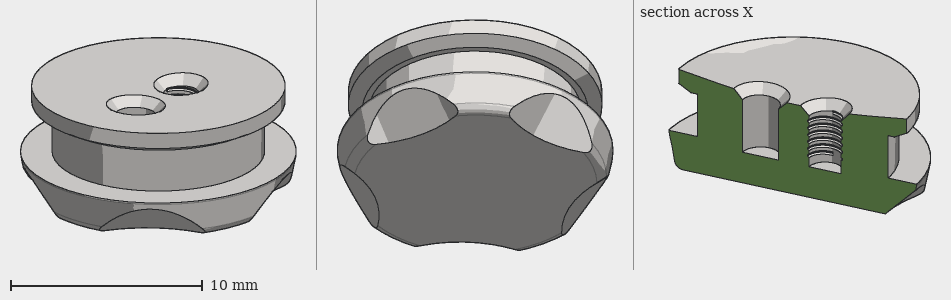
import cadquery as cq
import math

flange_radius = 7.2
flange_height = 2.16
rim_height = 0.09
flank_foot_radius = 6.78
foot_fillet = 0.52

neck_radius = 11.1 / 2
head_radius = 13.25 / 2
head_underside_radius = 5.9
head_underside_z = 4.61
head_chamfer_height = 0.39
total_height = 5.85
dish_depth = 0.58

scallop_count = 5
first_scallop_angle = 90.0
scallop_radius = 8.78
scallop_tilt = 45.0
scallop_floor_radius = 5.35
scallop_length = 14.4

hole_offset = 1.87
hole_depth = 4.03
mouth_chamfer = 0.5
plain_hole_radius = 2.07 / 2
threaded_hole_radius = 1.83 / 2

thread_major_radius = 2.0 / 2
thread_pitch = 0.4
thread_turns = 6
thread_end_angle = 180.0
thread_groove_width = 0.29
thread_root_width = 0.06
thread_overlap = 0.05


def make_flange():
    """Tapered disc with a narrow straight rim and a rounded foot."""
    flank_height = flange_height - rim_height
    flange = (
        cq.Workplane("XZ")
        .moveTo(0, 0)
        .lineTo(flank_foot_radius, 0)
        .lineTo(flange_radius, flank_height)
        .lineTo(flange_radius, flange_height)
        .lineTo(0, flange_height)
        .close()
        .revolve(360, (0, 0, 0), (0, 1, 0))
    )
    return flange.faces("<Z").edges().fillet(foot_fillet)


def make_scallop_cutter():
    """Cylinder leaning outward whose inner side hollows the flank on the +X side."""
    tilt = math.radians(scallop_tilt)
    axis = cq.Vector(math.sin(tilt), 0, math.cos(tilt))
    outward = cq.Vector(math.cos(tilt), 0, -math.sin(tilt))
    floor_point = cq.Vector(scallop_floor_radius, 0, 0)
    start = floor_point + outward * scallop_radius - axis * (scallop_length / 2)
    return cq.Workplane(obj=cq.Solid.makeCylinder(scallop_radius, scallop_length, start, axis))


def make_neck_and_head():
    """Neck and chamfered head, with a shallow spherical dish in the top."""
    blank = (
        cq.Workplane("XZ")
        .moveTo(0, flange_height)
        .lineTo(neck_radius, flange_height)
        .lineTo(neck_radius, head_underside_z)
        .lineTo(head_underside_radius, head_underside_z)
        .lineTo(head_radius, head_underside_z + head_chamfer_height)
        .lineTo(head_radius, total_height)
        .lineTo(0, total_height)
        .close()
        .revolve(360, (0, 0, 0), (0, 1, 0))
    )
    dish_radius = (head_radius**2 + dish_depth**2) / (2 * dish_depth)
    dish = (
        cq.Workplane("XZ")
        .sphere(dish_radius)
        .translate((0, 0, total_height - dish_depth + dish_radius))
    )
    return blank.cut(dish)


def drill_hole(body, radius, y):
    """Blind bore from the dished top, its mouth chamfered along the dish surface."""
    floor_z = total_height - hole_depth
    bore = cq.Workplane("XY", origin=(0, y, floor_z)).circle(radius).extrude(hole_depth)
    reach = hole_offset / 2
    mouth = cq.selectors.BoxSelector(
        (-reach, y - reach, total_height - 2 * dish_depth),
        (reach, y + reach, total_height),
    )
    return body.cut(bore).edges(mouth).edges("not |Z").chamfer(mouth_chamfer)


def make_thread_cutter():
    """Helical groove in the wall of the threaded hole, ending at its chamfered mouth."""
    length = thread_pitch * thread_turns
    top = total_height - dish_depth - mouth_chamfer
    helix = cq.Wire.makeHelix(thread_pitch, length, threaded_hole_radius)
    inner = threaded_hole_radius - thread_overlap
    groove = (
        cq.Workplane("XZ")
        .moveTo(inner, -thread_groove_width / 2)
        .lineTo(thread_major_radius, -thread_root_width / 2)
        .lineTo(thread_major_radius, thread_root_width / 2)
        .lineTo(inner, thread_groove_width / 2)
        .close()
        .sweep(cq.Workplane(obj=helix), isFrenet=True)
    )
    groove = groove.rotate((0, 0, 0), (0, 0, 1), thread_end_angle)
    return groove.translate((0, hole_offset, top - length))


flange = make_flange()
scallop_cutter = make_scallop_cutter()
for index in range(scallop_count):
    angle = first_scallop_angle + index * 360 / scallop_count
    flange = flange.cut(scallop_cutter.rotate((0, 0, 0), (0, 0, 1), angle))

result = flange.union(make_neck_and_head())
result = drill_hole(result, threaded_hole_radius, hole_offset)
result = drill_hole(result, plain_hole_radius, -hole_offset)
result = result.cut(make_thread_cutter())